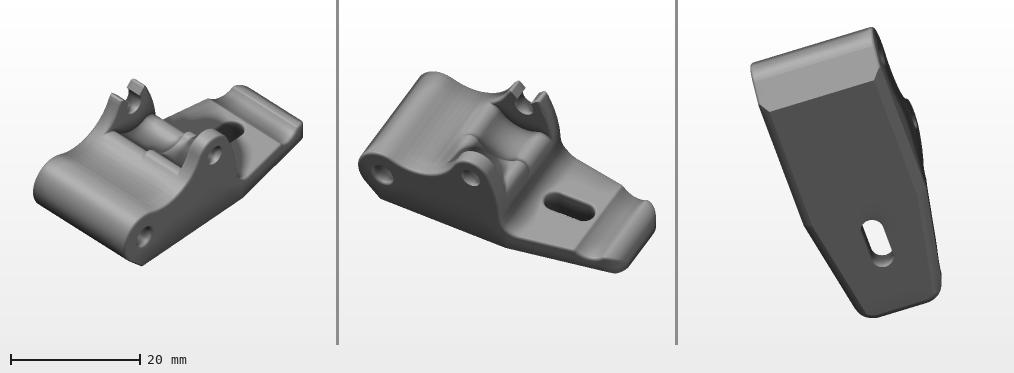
import cadquery as cq
import math

WIDTH = 20.0
LENGTH = 44.55
HALF_WIDTH = WIDTH / 2
REAR_Y = LENGTH / 2
FRONT_Y = -LENGTH / 2
EDGE_ROUND = 0.45

LUG_RADIUS = 3.45
LUG_CENTER = (-2.3, 17.5 - LUG_RADIUS)
LUG_HOLE_DIAMETER = 3.25
LUG_THICKNESS = 2.7
LUG_INNER_X = HALF_WIDTH - LUG_THICKNESS
LUG_LAYER = 1.35

FRONT_RADIUS = 4.45
FRONT_CENTER = (FRONT_Y + FRONT_RADIUS, 7.0)
FRONT_HOLE_DIAMETER = 3.4

FRONT_SWEEP_RADIUS = 8.25
REAR_SWEEP_RADIUS = 20.05
PLATE_TOP = 4.5
ROOT_RADIUS = 3.0
ROOT_CENTER = (5.85, PLATE_TOP + ROOT_RADIUS)

TAPER_START_Y = 3.8
REAR_HALF_WIDTH = 6.65
CORNER_RADIUS = 3.35
SIDE_CHAMFER = 1.45
REAR_CHAMFER = 1.02
NOSE_RADIUS = 2.67
NOSE_CENTER = (REAR_Y - NOSE_RADIUS, PLATE_TOP - NOSE_RADIUS)
GROOVE_RADIUS = 3.2
GROOVE_CENTER = (17.0, 6.75)
GROOVE_LIP_ROUND = 0.6
SIDE_EDGE_MIN_X = 3.55

SLOT_LENGTH = 8.38
SLOT_WIDTH = 3.55
SLOT_Y = 9.65

LOW_SADDLE_RADIUS = 5.05
LOW_SADDLE_BLEND = 1.95
HIGH_SADDLE_RADIUS = 4.4
HIGH_SADDLE_BLEND = 1.45
SADDLE_STEP_X = 0.1
STEP_ROUND = 0.65
SADDLE_HALF_WIDTH = LUG_INNER_X + EDGE_ROUND

MOUTH_HALF_ANGLE = 45.0

SLAB_BASE_Z = 3.55
CUT_MARGIN = 4.45


def point_toward(center, target, radius):
    """Point on a circle in the direction of the target."""
    dy = target[0] - center[0]
    dz = target[1] - center[1]
    scale = radius / math.hypot(dy, dz)
    return (center[0] + dy * scale, center[1] + dz * scale)


def circle_crossing(first, first_radius, second, second_radius):
    """Crossing of two circles on the left when going from first to second."""
    dy = second[0] - first[0]
    dz = second[1] - first[1]
    gap = math.hypot(dy, dz)
    along = (gap**2 + first_radius**2 - second_radius**2) / (2 * gap)
    across = math.sqrt(first_radius**2 - along**2)
    return (
        first[0] + (dy * along - dz * across) / gap,
        first[1] + (dz * along + dy * across) / gap,
    )


def arc_middle(center, start, end):
    """Middle point of the shorter arc about the center."""
    chord_middle = ((start[0] + end[0]) / 2, (start[1] + end[1]) / 2)
    return point_toward(center, chord_middle, math.dist(center, start))


def profile(start, steps):
    """Closed side outline; each step is an end point and an arc center, or None for a line."""
    path = cq.Workplane("YZ").moveTo(*start)
    current = start
    for end, center in steps:
        if center is None:
            path = path.lineTo(*end)
        else:
            path = path.threePointArc(arc_middle(center, current, end), end)
        current = end
    return path.close()


def extrude_between(outline, x_start, x_end):
    """Solid of a side outline between two X positions."""
    return outline.extrude(x_end - x_start).translate((x_start, 0, 0))


FRONT_SWEEP_CENTER = circle_crossing(
    FRONT_CENTER,
    FRONT_SWEEP_RADIUS + FRONT_RADIUS,
    LUG_CENTER,
    FRONT_SWEEP_RADIUS + LUG_RADIUS,
)
REAR_SWEEP_CENTER = circle_crossing(
    ROOT_CENTER,
    REAR_SWEEP_RADIUS + ROOT_RADIUS,
    LUG_CENTER,
    REAR_SWEEP_RADIUS - LUG_RADIUS,
)
FRONT_TANGENT = point_toward(FRONT_CENTER, FRONT_SWEEP_CENTER, FRONT_RADIUS)
LUG_FRONT_TANGENT = point_toward(LUG_CENTER, FRONT_SWEEP_CENTER, LUG_RADIUS)
LUG_REAR_TANGENT = point_toward(REAR_SWEEP_CENTER, LUG_CENTER, REAR_SWEEP_RADIUS)
ROOT_TANGENT = point_toward(ROOT_CENTER, REAR_SWEEP_CENTER, ROOT_RADIUS)


def side_outline():
    """Full outline of the part across X."""
    bevel_offset = FRONT_RADIUS * math.sqrt(0.5)
    bevel_top = (FRONT_CENTER[0] - bevel_offset, FRONT_CENTER[1] - bevel_offset)
    bevel_bottom = (bevel_top[0] + bevel_top[1], 0)
    groove_half = math.sqrt(GROOVE_RADIUS**2 - (GROOVE_CENTER[1] - PLATE_TOP) ** 2)
    groove_front = (GROOVE_CENTER[0] - groove_half, PLATE_TOP)
    groove_rear = (GROOVE_CENTER[0] + groove_half, PLATE_TOP)
    groove_bottom = (GROOVE_CENTER[0], GROOVE_CENTER[1] - GROOVE_RADIUS)
    return profile(
        bevel_bottom,
        [
            (bevel_top, None),
            (FRONT_TANGENT, FRONT_CENTER),
            (LUG_FRONT_TANGENT, FRONT_SWEEP_CENTER),
            (LUG_REAR_TANGENT, LUG_CENTER),
            (ROOT_TANGENT, REAR_SWEEP_CENTER),
            ((ROOT_CENTER[0], PLATE_TOP), ROOT_CENTER),
            (groove_front, None),
            (groove_bottom, GROOVE_CENTER),
            (groove_rear, GROOVE_CENTER),
            ((NOSE_CENTER[0], PLATE_TOP), None),
            ((REAR_Y, NOSE_CENTER[1]), NOSE_CENTER),
            ((REAR_Y, 0), None),
        ],
    )


def plan_block():
    """Block with the tapered plan shape, chamfered along its lower side and rear edges."""
    front = FRONT_Y - CUT_MARGIN
    block = (
        cq.Workplane("XY")
        .polyline(
            [
                (-HALF_WIDTH, front),
                (HALF_WIDTH, front),
                (HALF_WIDTH, TAPER_START_Y),
                (REAR_HALF_WIDTH, REAR_Y),
                (-REAR_HALF_WIDTH, REAR_Y),
                (-HALF_WIDTH, TAPER_START_Y),
            ]
        )
        .close()
        .extrude(LUG_CENTER[1] + LUG_RADIUS + CUT_MARGIN)
    )
    rounded = block.edges("|Z and >Y").fillet(CORNER_RADIUS)
    rounded = rounded.faces("<Z").edges().chamfer(REAR_CHAMFER)
    return block.faces("<Z").edges("not |X").chamfer(SIDE_CHAMFER).intersect(rounded)


def groove_lips(body):
    """Edges where the finger groove meets the plate top."""
    box = cq.selectors.BoxSelector(
        (-WIDTH, GROOVE_CENTER[0] - GROOVE_RADIUS, PLATE_TOP - EDGE_ROUND),
        (WIDTH, GROOVE_CENTER[0] + GROOVE_RADIUS, PLATE_TOP + EDGE_ROUND),
    )
    return body.edges("|X").edges(box)


def round_side_edges(body, y_start, y_end):
    """Round the edges above the side chamfers in a Y range, on both sides."""
    margin = 0.05
    for side in (-1, 1):
        box = cq.selectors.BoxSelector(
            (side * SIDE_EDGE_MIN_X, y_start + margin, SIDE_CHAMFER + margin),
            (side * WIDTH, y_end - margin, LENGTH),
        )
        body = body.edges(box).edges("not |Z").fillet(EDGE_ROUND)
    return body


def outer_body():
    """Whole outer shape with both lugs still joined across the width."""
    body = extrude_between(side_outline(), -HALF_WIDTH, HALF_WIDTH)
    body = groove_lips(body).fillet(GROOVE_LIP_ROUND)
    body = body.intersect(plan_block())
    rear_half_space = cq.Workplane("XY").box(WIDTH, LENGTH, LENGTH, centered=(True, False, True))
    rear_half_space = rear_half_space.translate((0, TAPER_START_Y, 0))
    front = round_side_edges(body.cut(rear_half_space), FRONT_Y, TAPER_START_Y)
    rear = round_side_edges(body.intersect(rear_half_space), TAPER_START_Y, REAR_Y)
    return front.union(rear)


def saddle_ends(radius, blend):
    """Blend centers behind and in front of a saddle, each with its wall tangent point."""
    rear_center = circle_crossing(
        LUG_CENTER, radius + blend, REAR_SWEEP_CENTER, REAR_SWEEP_RADIUS - blend
    )
    front_center = circle_crossing(
        LUG_CENTER, radius + blend, FRONT_SWEEP_CENTER, FRONT_SWEEP_RADIUS + blend
    )
    rear_wall = point_toward(REAR_SWEEP_CENTER, rear_center, REAR_SWEEP_RADIUS)
    front_wall = point_toward(FRONT_SWEEP_CENTER, front_center, FRONT_SWEEP_RADIUS)
    return rear_center, rear_wall, front_center, front_wall


def saddle_steps(radius, blend):
    """Arcs of a saddle, from its rear wall point to its front wall point."""
    rear_center, rear_wall, front_center, front_wall = saddle_ends(radius, blend)
    return rear_wall, [
        (point_toward(LUG_CENTER, rear_center, radius), rear_center),
        (point_toward(LUG_CENTER, front_center, radius), LUG_CENTER),
        (front_wall, front_center),
    ]


def saddle_opening():
    """Space between the lugs above the low saddle."""
    rear_wall, steps = saddle_steps(LOW_SADDLE_RADIUS, LOW_SADDLE_BLEND)
    front_wall = steps[-1][0]
    top = LUG_CENTER[1] + LUG_RADIUS + CUT_MARGIN
    rear = rear_wall[0] + CUT_MARGIN
    above = [((front_wall[0], top), None), ((rear, top), None), ((rear, rear_wall[1]), None)]
    return extrude_between(profile(rear_wall, steps + above), -SADDLE_HALF_WIDTH, SADDLE_HALF_WIDTH)


def slab_outline(top_start, top_steps):
    """Saddle or lug outline carried down both sweeps to a base inside the body."""
    front = FRONT_SWEEP_CENTER[0]
    front_foot = (front, FRONT_SWEEP_CENTER[1] - FRONT_SWEEP_RADIUS)
    steps = top_steps + [
        (front_foot, FRONT_SWEEP_CENTER),
        ((front, SLAB_BASE_Z), None),
        ((ROOT_TANGENT[0], SLAB_BASE_Z), None),
        (ROOT_TANGENT, None),
        (top_start, REAR_SWEEP_CENTER),
    ]
    return profile(top_start, steps)


def high_saddle():
    """Raised saddle beside the +X lug, with its step edge rounded."""
    rear_wall, steps = saddle_steps(HIGH_SADDLE_RADIUS, HIGH_SADDLE_BLEND)
    slab = extrude_between(slab_outline(rear_wall, steps), SADDLE_STEP_X, SADDLE_HALF_WIDTH)
    return slab.faces("<X").edges("not(|Y or |Z)").fillet(STEP_ROUND)


def lug_inner_side(side):
    """Inner layer of a lug with rounded edges, for the side -1 or +1."""
    outline = slab_outline(LUG_REAR_TANGENT, [(LUG_FRONT_TANGENT, LUG_CENTER)])
    inner, outer = sorted((side * LUG_INNER_X, side * (LUG_INNER_X + LUG_LAYER)))
    layer = extrude_between(outline, inner, outer)
    inner_face = "<X" if side > 0 else ">X"
    return layer.faces(inner_face).edges("not(|Y or |Z)").fillet(EDGE_ROUND)


def cross_hole(center, diameter):
    """Cylinder along X through the whole width."""
    hole = cq.Workplane("YZ").center(*center).circle(diameter / 2)
    return extrude_between(hole, -WIDTH, WIDTH)


def polar(center, radius, degrees):
    """Point on a circle at an angle from the +Y direction."""
    angle = math.radians(degrees)
    return (center[0] + radius * math.cos(angle), center[1] + radius * math.sin(angle))


def lug_mouth():
    """Wedge that opens the -X lug upwards from the pivot hole, with rounded outer corners."""
    corner_distance = LUG_RADIUS - EDGE_ROUND
    corner_turn = math.degrees(math.asin(EDGE_ROUND / corner_distance))
    flank_length = math.sqrt(corner_distance**2 - EDGE_ROUND**2)
    rear_angle = 90 - MOUTH_HALF_ANGLE
    front_angle = 90 + MOUTH_HALF_ANGLE
    rear_corner_angle = rear_angle - corner_turn
    front_corner_angle = front_angle + corner_turn
    rear_tip = polar(LUG_CENTER, LUG_RADIUS, rear_corner_angle)
    front_flank = polar(LUG_CENTER, flank_length, front_angle)
    top = LUG_CENTER[1] + LUG_RADIUS + CUT_MARGIN
    front_tip = polar(LUG_CENTER, LUG_RADIUS, front_corner_angle)
    wedge = profile(
        LUG_CENTER,
        [
            (polar(LUG_CENTER, flank_length, rear_angle), None),
            (rear_tip, polar(LUG_CENTER, corner_distance, rear_corner_angle)),
            ((rear_tip[0], top), None),
            ((front_tip[0], top), None),
            (front_tip, None),
            (front_flank, polar(LUG_CENTER, corner_distance, front_corner_angle)),
        ],
    )
    return extrude_between(wedge, -WIDTH, 0)


def slot():
    """Rounded slot through the plate."""
    cutter = cq.Workplane("XY").center(0, SLOT_Y).slot2D(SLOT_LENGTH, SLOT_WIDTH, 90)
    return cutter.extrude(LUG_CENTER[1])


def front_hole_mouths(body):
    """Circular edges at both ends of the front hole."""
    radius = FRONT_HOLE_DIAMETER / 2
    box = cq.selectors.BoxSelector(
        (-WIDTH, FRONT_CENTER[0] - radius, FRONT_CENTER[1] - radius),
        (WIDTH, FRONT_CENTER[0] + radius, FRONT_CENTER[1] + radius),
    )
    return body.edges("%CIRCLE").edges(box)


def slot_mouth(body):
    """Edges around the top of the slot."""
    half_length = SLOT_LENGTH / 2
    box = cq.selectors.BoxSelector(
        (-SLOT_WIDTH, SLOT_Y - half_length - EDGE_ROUND / 2, PLATE_TOP - EDGE_ROUND / 2),
        (SLOT_WIDTH, SLOT_Y + half_length + EDGE_ROUND / 2, PLATE_TOP + EDGE_ROUND / 2),
    )
    return body.edges(box).edges("not |Z")


result = outer_body()
result = result.cut(saddle_opening()).union(high_saddle())
for lug_side in (-1, 1):
    result = result.union(lug_inner_side(lug_side))
result = result.cut(lug_mouth())
result = result.cut(cross_hole(LUG_CENTER, LUG_HOLE_DIAMETER))
result = result.cut(cross_hole(FRONT_CENTER, FRONT_HOLE_DIAMETER))
result = front_hole_mouths(result).fillet(EDGE_ROUND)
result = result.cut(slot())
result = slot_mouth(result).fillet(EDGE_ROUND)